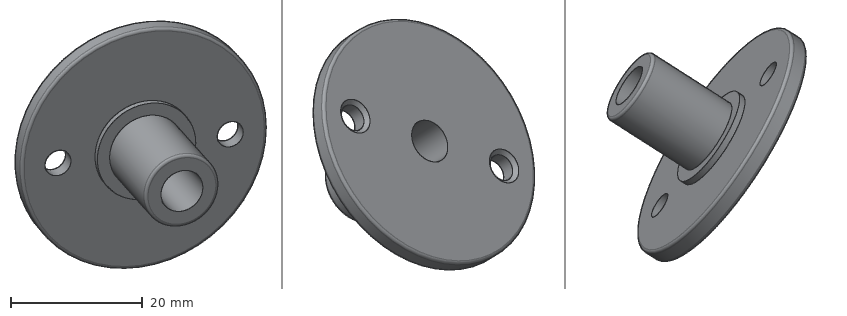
import cadquery as cq

total_length = 18.9
flange_diameter = 40.0
flange_thickness = 3.0
flange_edge_radius = 0.5

shoulder_diameter = 16.0
shoulder_length = 1.0
spigot_diameter = 12.0
spigot_edge_radius = 0.5

bore_diameter = 6.8
screw_hole_diameter = 4.2
countersink_diameter = 5.5
countersink_angle = 90.0
screw_hole_offset = 14.0


def cylinder_along_x(diameter, start, end):
    """Solid cylinder centred on the X axis between two X positions."""
    return cq.Workplane("YZ", origin=(start, 0, 0)).circle(diameter / 2).extrude(end - start)


flange = cylinder_along_x(flange_diameter, 0, flange_thickness)
flange = flange.edges().fillet(flange_edge_radius)

shoulder_end = flange_thickness + shoulder_length
shoulder = cylinder_along_x(shoulder_diameter, flange_thickness, shoulder_end)
spigot = cylinder_along_x(spigot_diameter, shoulder_end, total_length)
spigot = spigot.faces(">X").edges().fillet(spigot_edge_radius)

body = flange.union(shoulder).union(spigot)

body = body.cut(cylinder_along_x(bore_diameter, 0, total_length))

result = (
    body.faces("<X")
    .workplane(origin=(0, 0, 0))
    .pushPoints([(-screw_hole_offset, 0), (screw_hole_offset, 0)])
    .cskHole(screw_hole_diameter, countersink_diameter, countersink_angle, depth=flange_thickness)
)